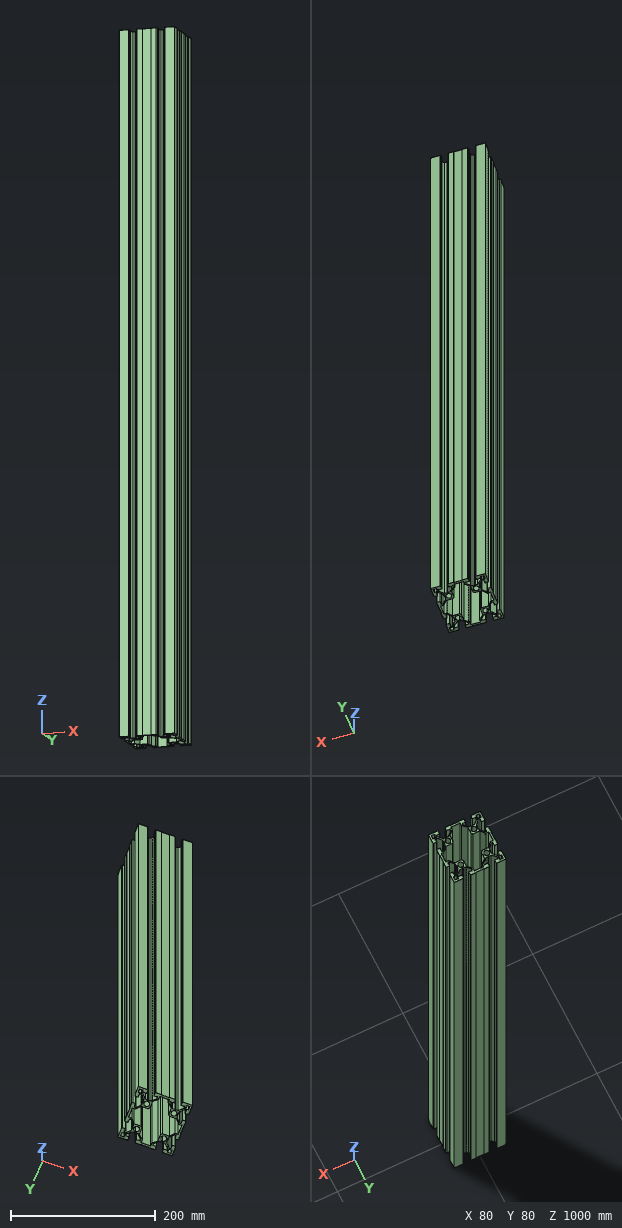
import cadquery as cq

side = 80.0
length = 1000.0

slot_pitch = 40.0
slot_opening = 10.0
mouth_chamfer = 1.2
groove_width = 21.0
groove_floor_width = 8.0
lip_thickness = 5.5
groove_side_depth = 8.0
groove_depth = 14.0
floor_notch_width = 2.0
floor_notch_depth = 1.0

recess_width = 12.0
recess_depth = 0.4

outer_wall = 3.5
web = 2.5
core_reach = 6.2
core_chamfer = 2.0
core_bore = 8.0

corner_cavity = 5.0
corner_cavity_inset = 3.0

half_side = side / 2
half_pitch = slot_pitch / 2
slot_centers = (-half_pitch, half_pitch)


def prism(points):
    """Full-length prism with the given XY outline."""
    return cq.Workplane("XY").polyline(points).close().extrude(length)


def slot(center):
    """T-shaped cutter for the +Y face, centred at the given X."""
    lip_face = half_side - lip_thickness
    side_end = half_side - groove_side_depth
    floor = half_side - groove_depth
    half_profile = [
        (slot_opening / 2 + mouth_chamfer, half_side),
        (slot_opening / 2, half_side - mouth_chamfer),
        (slot_opening / 2, lip_face),
        (groove_width / 2, lip_face),
        (groove_width / 2, side_end),
        (groove_floor_width / 2, floor),
        (floor_notch_width / 2, floor),
    ]
    notch_tip = (center, floor - floor_notch_depth)
    right_side = [(center + x, y) for x, y in half_profile]
    left_side = [(center - x, y) for x, y in reversed(half_profile)]
    return prism(right_side + [notch_tip] + left_side)


def face_recess():
    """Cutter for the shallow recess in the middle of the +Y face."""
    recess = cq.Workplane("XY").rect(recess_width, 2 * recess_depth).extrude(length)
    return recess.translate((0, half_side, 0))


def cavity_arm():
    """Part of the central cavity that reaches from the axis to the +Y wall."""
    end = half_side - outer_wall
    shoulder = half_side - groove_side_depth
    core_inner = half_pitch - core_reach
    core_outer = half_pitch + core_reach
    neck = half_pitch - groove_width / 2 - web
    half_profile = [
        (core_inner + core_chamfer, 0),
        (core_inner + core_chamfer, core_inner),
        (core_inner, core_inner + core_chamfer),
        (core_inner, core_outer),
        (neck, shoulder),
        (neck, end),
    ]
    left_side = [(-x, y) for x, y in reversed(half_profile)]
    return prism(half_profile + left_side)


result = cq.Workplane("XY").rect(side, side).extrude(length)

for angle in (0, 90, 180, 270):
    cutters = [cavity_arm(), face_recess()] + [slot(center) for center in slot_centers]
    for cutter in cutters:
        result = result.cut(cutter.rotate((0, 0, 0), (0, 0, 1), angle))

bore_centers = [(x, y) for x in slot_centers for y in slot_centers]
bores = cq.Workplane("XY").pushPoints(bore_centers).circle(core_bore / 2).extrude(length)
result = result.cut(bores)

corner_spacing = side - 2 * corner_cavity_inset - corner_cavity
corners = (
    cq.Workplane("XY")
    .rarray(corner_spacing, corner_spacing, xCount=2, yCount=2)
    .rect(corner_cavity, corner_cavity)
    .extrude(length)
)
result = result.cut(corners)